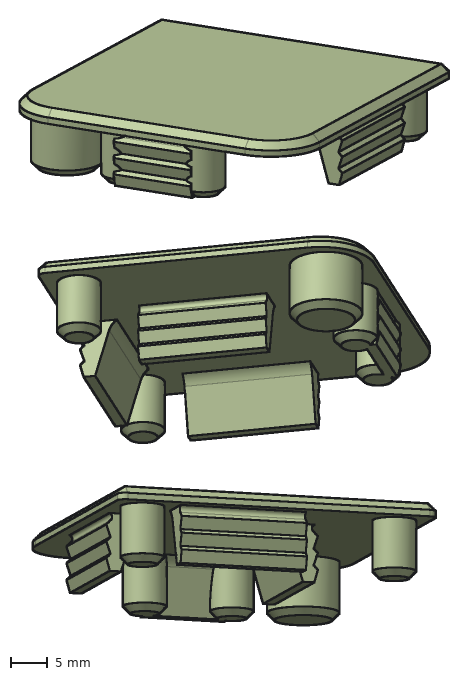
import cadquery as cq

side = 45.5
total_height = 10.0
plate_thickness = 2.0
leg_length = total_height - plate_thickness
plate_chamfer = 1.1
front_corner_radius = 7.5
back_corner_radius = 1.15

peg_chamfer = 1.0
small_peg_diameter = 6.0
back_peg_offset = 18.0
front_peg_x = 6.25
front_peg_y = -17.93
large_peg_diameter = 9.9
large_peg_x = -15.9
large_peg_y = -16.15

tooth_count = 3
tooth_pitch = 2.3
tooth_depth = 0.6
lowest_tip_height = 1.77
lowest_valley_height = 2.35

toe_outer_inset = 0.5
toe_inner_inset = 2.15
slope_end_inset = 4.1
slope_end_height = 6.55
base_inset = 5.2
inner_root_bulge = 0.15
outer_root_inset = 0.45
outer_root_bulge = 0.3

outer_clip_reach = 21.25
inner_clip_reach = 9.0
front_clip_length = 11.9
long_clip_length = 17.93
side_clip_center_y = 3.0
back_clip_center_x = 4.45


def make_plate():
    """Square cover plate with two large and two small corners, bevelled on top."""
    plate = cq.Workplane("XY").box(side, side, plate_thickness, centered=(True, True, False))
    plate = plate.edges("|Z and <Y").fillet(front_corner_radius)
    plate = plate.edges("|Z and >Y").fillet(back_corner_radius)
    return plate.faces(">Z").chamfer(plate_chamfer)


def make_peg(x, y, radius):
    """Round peg hanging from the plate, bevelled at its free end."""
    peg = cq.Workplane("XY").center(x, y).circle(radius).extrude(-leg_length)
    return peg.faces("<Z").chamfer(peg_chamfer)


def make_clip(length, center_x, center_y, turn, tip):
    """Toothed clip with its teeth facing +X, turned about Z and moved to its place.

    The tooth tips end up the distance tip away from the given center,
    and the clip runs half its length to both sides of it.
    """
    valley = tip - tooth_depth
    free_end = -leg_length

    profile = cq.Workplane("XZ").moveTo(tip - toe_inner_inset, free_end)
    profile = profile.lineTo(tip - toe_outer_inset, free_end)
    for tooth in range(tooth_count):
        lift = free_end + tooth * tooth_pitch
        profile = profile.lineTo(tip, lift + lowest_tip_height)
        profile = profile.lineTo(valley, lift + lowest_valley_height)

    profile = profile.sagittaArc((tip - outer_root_inset, 0), outer_root_bulge)
    profile = profile.lineTo(tip - base_inset, 0)
    profile = profile.sagittaArc((tip - slope_end_inset, free_end + slope_end_height), inner_root_bulge)

    clip = profile.close().extrude(length / 2, both=True)
    return clip.rotate((0, 0, 0), (0, 0, 1), turn).translate((center_x, center_y, 0))


pegs = [
    make_peg(large_peg_x, large_peg_y, large_peg_diameter / 2),
    make_peg(-back_peg_offset, back_peg_offset, small_peg_diameter / 2),
    make_peg(back_peg_offset, back_peg_offset, small_peg_diameter / 2),
    make_peg(-front_peg_x, front_peg_y, small_peg_diameter / 2),
    make_peg(front_peg_x, front_peg_y, small_peg_diameter / 2),
]

clips = [
    make_clip(front_clip_length, 0, 0, -90, outer_clip_reach),
    make_clip(long_clip_length, 0, side_clip_center_y, 0, outer_clip_reach),
    make_clip(long_clip_length, back_clip_center_x, 0, 90, outer_clip_reach),
    make_clip(long_clip_length, 0, side_clip_center_y, 180, inner_clip_reach),
]

result = make_plate()
for leg in pegs + clips:
    result = result.union(leg)